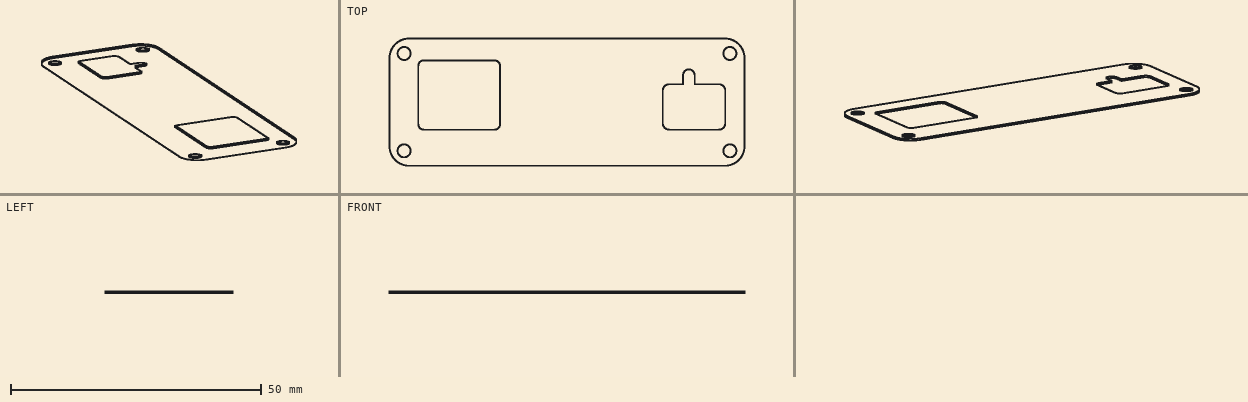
import cadquery as cq

length = 71.0
width = 25.5
thickness = 0.39
corner_radius = 4.0

hole_diameter = 2.55
hole_spacing_x = 65.1
hole_spacing_y = 19.45

window_bottom = -5.5

large_left = -29.7
large_length = 16.25
large_height = 13.8
large_corner_radius = 1.0

small_left = 19.2
small_length = 12.4
small_height = 9.0
small_corner_radius = 1.2
notch_center_x = 24.35
notch_width = 2.3
notch_top = 6.5


def make_plate():
    """Flat plate resting on Z = 0 with rounded corners."""
    plate = cq.Workplane("XY").box(length, width, thickness, centered=(True, True, False))
    return plate.edges("|Z").fillet(corner_radius)


def make_screw_holes():
    """Cutters for the four corner holes."""
    return (
        cq.Workplane("XY")
        .rect(hole_spacing_x, hole_spacing_y, forConstruction=True)
        .vertices()
        .circle(hole_diameter / 2)
        .extrude(thickness)
    )


def make_window(left, window_length, window_height, radius):
    """Cutter for a rounded rectangular window standing on the shared lower edge."""
    window = cq.Workplane("XY").box(window_length, window_height, thickness, centered=False)
    return window.edges("|Z").fillet(radius).translate((left, window_bottom, 0))


def make_notch():
    """Cutter for the notch, reaching from inside the small window to its round end."""
    notch_radius = notch_width / 2
    notch_bottom = window_bottom + small_height / 2
    arc_center_y = notch_top - notch_radius
    return (
        cq.Workplane("XY")
        .moveTo(notch_center_x - notch_radius, notch_bottom)
        .lineTo(notch_center_x + notch_radius, notch_bottom)
        .lineTo(notch_center_x + notch_radius, arc_center_y)
        .threePointArc(
            (notch_center_x, notch_top),
            (notch_center_x - notch_radius, arc_center_y),
        )
        .close()
        .extrude(thickness)
    )


large_window = make_window(large_left, large_length, large_height, large_corner_radius)
small_window = make_window(small_left, small_length, small_height, small_corner_radius)

result = (
    make_plate()
    .cut(make_screw_holes())
    .cut(large_window)
    .cut(small_window)
    .cut(make_notch())
)